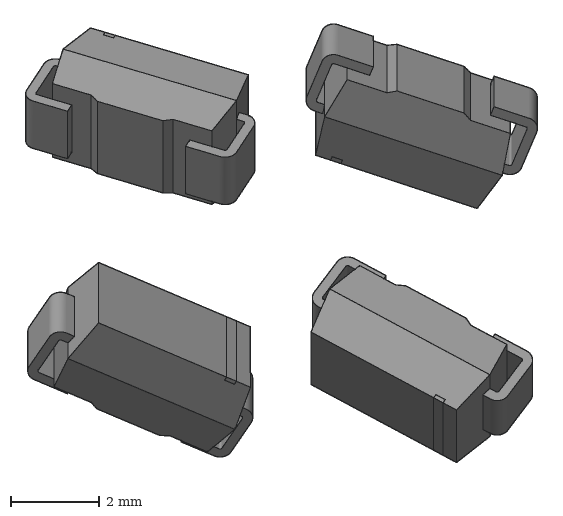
import cadquery as cq
import math

overall_length = 5.2

seam_length = 4.3
seam_height = 2.6
housing_depth = 1.1
draft_angle = 10.0

shoulder_depth = 0.99
pad_length = 1.62
pad_base_length = 2.03

lead_thickness = 0.235
lead_width = 1.45
bend_inner_radius = 0.05
foot_length = 1.14
foot_face_y = -1.3

band_center_x = -1.465
band_width = 0.25
band_depth = 0.1

draft_inset = housing_depth * math.tan(math.radians(draft_angle))
back_face_height = seam_height - 2 * draft_inset
bend_outer_radius = bend_inner_radius + lead_thickness
lead_outer_x = overall_length / 2
lead_inner_x = lead_outer_x - lead_thickness
bend_center_x = lead_outer_x - bend_outer_radius
foot_back_y = foot_face_y + lead_thickness
foot_tip_x = lead_outer_x - foot_length
shank_root_x = seam_length / 2 - draft_inset


def make_housing_half(direction):
    """Drafted half of the housing, rising from the parting plane towards direction * Y."""
    plane = cq.Plane(origin=(0, 0, 0), xDir=(1, 0, 0), normal=(0, direction, 0))
    return cq.Workplane(plane).rect(seam_length, seam_height).extrude(housing_depth, taper=draft_angle)


def make_shoulder_cut(side):
    """Material removed beside the pad, leaving a sloped pad flank and a flat shoulder."""
    return (
        cq.Workplane("XY")
        .moveTo(side * pad_length / 2, -housing_depth)
        .lineTo(side * pad_base_length / 2, -shoulder_depth)
        .lineTo(side * seam_length / 2, -shoulder_depth)
        .lineTo(side * seam_length / 2, -housing_depth)
        .close()
        .extrude(seam_height / 2, both=True)
    )


def make_band():
    """Straight-sided bar as tall as the back face and flush with it."""
    return cq.Workplane("XY").box(band_width, band_depth, back_face_height).translate(
        (band_center_x, housing_depth - band_depth / 2, 0)
    )


def make_housing_blank():
    """Both drafted halves with the shoulders cut, before the band recess."""
    blank = make_housing_half(1).union(make_housing_half(-1))
    for side in (-1, 1):
        blank = blank.cut(make_shoulder_cut(side))
    return blank


def make_lead(side, housing_blank):
    """C-shaped strip whose shank ends flush against the housing's drafted end."""
    strip = (
        cq.Workplane("XY")
        .moveTo(side * shank_root_x, 0)
        .lineTo(side * bend_center_x, 0)
        .radiusArc((side * lead_inner_x, -bend_inner_radius), side * bend_inner_radius)
        .lineTo(side * lead_inner_x, foot_back_y + bend_inner_radius)
        .radiusArc((side * bend_center_x, foot_back_y), side * bend_inner_radius)
        .lineTo(side * foot_tip_x, foot_back_y)
        .lineTo(side * foot_tip_x, foot_face_y)
        .lineTo(side * bend_center_x, foot_face_y)
        .radiusArc((side * lead_outer_x, foot_back_y + bend_inner_radius), -side * bend_outer_radius)
        .lineTo(side * lead_outer_x, -bend_inner_radius)
        .radiusArc((side * bend_center_x, lead_thickness), -side * bend_outer_radius)
        .lineTo(side * shank_root_x, lead_thickness)
        .close()
        .extrude(lead_width / 2, both=True)
    )
    return strip.cut(housing_blank)


housing_blank = make_housing_blank()
band = make_band()
housing = housing_blank.cut(band)
leads = [make_lead(side, housing_blank) for side in (-1, 1)]

bodies = [housing, band, *leads]
result = cq.Compound.makeCompound([body.solids().val() for body in bodies])